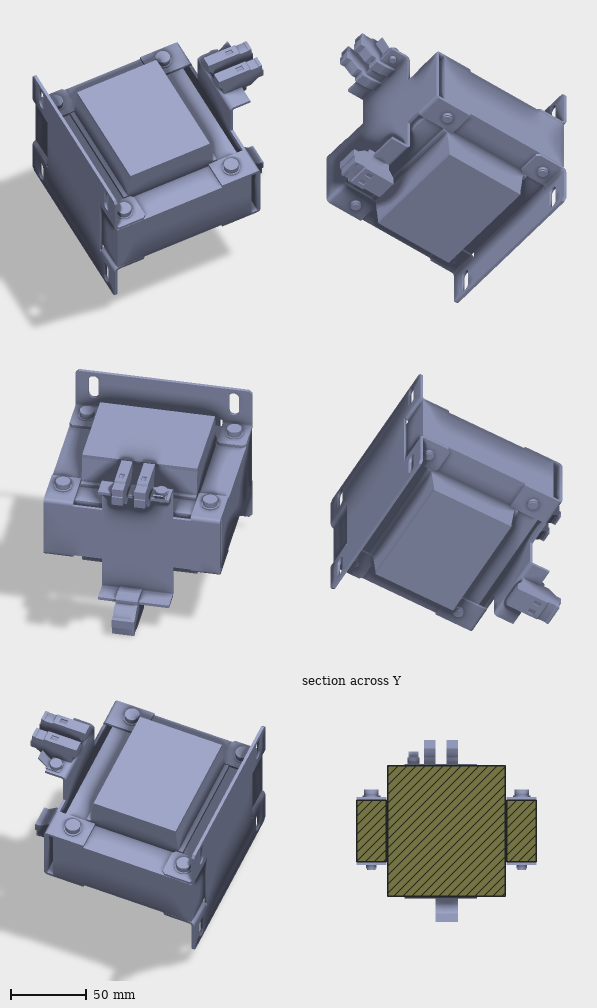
import cadquery as cq
import math

OVERALL_WIDTH = 120.0
OVERALL_HEIGHT = 121.0
SHEET = 2.0

CORE_HALF_HEIGHT = 20.7
CORE_BACK_Y = 102.2
WINDOW_HALF_WIDTH = 40.0
WINDOW_FRONT_Y = 21.9
WINDOW_BACK_Y = 82.3
COIL_HALF_WIDTH = 39.1
COIL_HALF_HEIGHT = 43.7
COIL_TOP_FRONT_Y = 22.5
COIL_TOP_BACK_Y = 81.8
COIL_FLARE = 2.5
COIL_RIM = 2.6
FLANGE_OVERHANG = 2.6
FLANGE_THICKNESS = 2.6

PLATE_HEIGHT = 104.1
PLATE_CORNER = 2.0
SLOT_X = 47.6
SLOT_Z = 40.0
SLOT_LENGTH = 18.0
SLOT_WIDTH = 6.7
OPENING_HALF_HEIGHT = 25.9
OPENING_INNER_X = 38.0
PLATE_BEND = 4.0
PLATE_TAB_END_Y = 23.7
PLATE_TAB_BOTTOM = CORE_HALF_HEIGHT + 0.3
TAB_INNER_X = WINDOW_HALF_WIDTH
TAB_WIDTH = OVERALL_WIDTH / 2 - TAB_INNER_X

BRACKET_BACK_Y = 108.8
BRACKET_FRONT_Y = BRACKET_BACK_Y - SHEET
BRACKET_BEND = 2.5
SHELF_BEND = 3.0
BRACKET_TAB_END_Y = 80.3
BRACKET_TAB_TOP = CORE_HALF_HEIGHT + SHEET
SHELF_TOP = 44.8
SHELF_BACK_Y = 121.6
SHELF_LEFT_X = -28.0
SHELF_WIDTH = 48.2

BOLT_X = 50.0
BOLT_YS = (12.0, 92.1)
WASHER_DIAMETER = 11.8
WASHER_THICKNESS = 1.0
HEAD_DIAMETER = 9.8
HEAD_HEIGHT = 4.0
NUT_DIAMETER = 7.2
NUT_HEIGHT = 2.2
SHANK_DIAMETER = 5.5
SHANK_PROTRUSION = 1.0

EARTH_X = -21.9
EARTH_Y = 116.4
EARTH_PLATE_WIDTH = 8.1
EARTH_PLATE_FRONT_Y = 112.2
EARTH_PLATE_BACK_Y = 122.3
EARTH_PLATE_THICKNESS = 1.0
EARTH_LUG_WIDTH = 6.7
EARTH_LUG_LENGTH = 9.1
EARTH_LUG_ANGLE = 47
EARTH_HEAD_DIAMETER = 8.0
EARTH_HEAD_HEIGHT = 3.3
EARTH_SHANK_DIAMETER = 4.4
EARTH_SHANK_PROTRUSION = 2.6

BLOCK_WIDTH = 7.6
BLOCK_ROW_LEFT_X = -15.0
BLOCK_TOP = OVERALL_HEIGHT / 2
POCKET_WIDTH = 3.5
POCKET_FRONT_Y = 119.4
POCKET_BACK_Y = 124.3
POCKET_DEPTH = 1.1
BLOCK_PROFILE = [
    (104.7, BLOCK_TOP),
    (127.9, BLOCK_TOP),
    (128.6, 59.3),
    (134.3, 59.3),
    (134.7, 59.9),
    (136.7, 59.9),
    (136.7, 54.3),
    (137.7, 54.3),
    (137.7, 47.9),
    (134.1, 47.9),
    (128.5, 43.2),
    (125.2, 43.2),
    (125.2, 40.3),
    (124.5, 39.5),
    (116.6, 39.5),
    (108.4, 41.3),
    (108.4, 49.0),
    (104.7, 55.0),
]


def box(x_range, y_range, z_range):
    """Axis-aligned box from its limits along each axis."""
    lows, highs = zip(x_range, y_range, z_range)
    size = [high - low for low, high in zip(lows, highs)]
    return cq.Workplane("XY").box(*size, centered=False).translate(lows)


def upright_cylinder(x, y, z, diameter, height):
    return cq.Workplane("XY", origin=(x, y, z)).circle(diameter / 2).extrude(height)


def extrude_profile(points, left_x, width):
    """Straight-sided (y, z) outline extruded along +X from left_x."""
    return cq.Workplane("YZ", origin=(left_x, 0, 0)).polyline(points).close().extrude(width)


def with_lower_copy(body):
    return body.union(body.mirror("XY"))


def with_right_copy(body):
    return body.union(body.mirror("YZ"))


def bent_sheet(left_x, width, corner, reach_y, reach_z, radius):
    """L-shaped sheet; the signed reaches run from the sharp outer corner (y, z)."""
    y0, z0 = corner
    dy = math.copysign(1, reach_y)
    dz = math.copysign(1, reach_z)
    centre_y = y0 + dy * radius
    centre_z = z0 + dz * radius
    outer_mid = radius * math.sqrt(0.5)
    inner_mid = (radius - SHEET) * math.sqrt(0.5)
    return (
        cq.Workplane("YZ", origin=(left_x, 0, 0))
        .moveTo(y0 + reach_y, z0)
        .lineTo(centre_y, z0)
        .threePointArc((centre_y - dy * outer_mid, centre_z - dz * outer_mid), (y0, centre_z))
        .lineTo(y0, z0 + reach_z)
        .lineTo(y0 + dy * SHEET, z0 + reach_z)
        .lineTo(y0 + dy * SHEET, centre_z)
        .threePointArc(
            (centre_y - dy * inner_mid, centre_z - dz * inner_mid), (centre_y, z0 + dz * SHEET)
        )
        .lineTo(y0 + reach_y, z0 + dz * SHEET)
        .close()
        .extrude(width)
    )


def make_core():
    half_width = OVERALL_WIDTH / 2
    z_range = (-CORE_HALF_HEIGHT, CORE_HALF_HEIGHT)
    block = box((-half_width, half_width), (SHEET, CORE_BACK_Y), z_range)
    window = box(
        (-WINDOW_HALF_WIDTH, WINDOW_HALF_WIDTH), (WINDOW_FRONT_Y, WINDOW_BACK_Y), z_range
    )
    return block.cut(window)


def make_coil():
    x_range = (-COIL_HALF_WIDTH, COIL_HALF_WIDTH)
    filling = box(x_range, (WINDOW_FRONT_Y, WINDOW_BACK_Y), (-CORE_HALF_HEIGHT, CORE_HALF_HEIGHT))
    base_front = COIL_TOP_FRONT_Y - COIL_FLARE
    base_back = COIL_TOP_BACK_Y + COIL_FLARE
    rim_z = COIL_HALF_HEIGHT - COIL_RIM
    head = extrude_profile(
        [
            (base_front, CORE_HALF_HEIGHT),
            (COIL_TOP_FRONT_Y, rim_z),
            (COIL_TOP_FRONT_Y, COIL_HALF_HEIGHT),
            (COIL_TOP_BACK_Y, COIL_HALF_HEIGHT),
            (COIL_TOP_BACK_Y, rim_z),
            (base_back, CORE_HALF_HEIGHT),
        ],
        -COIL_HALF_WIDTH,
        2 * COIL_HALF_WIDTH,
    )
    flange = box(
        x_range,
        (base_front - FLANGE_OVERHANG, base_back + FLANGE_OVERHANG),
        (CORE_HALF_HEIGHT, CORE_HALF_HEIGHT + FLANGE_THICKNESS),
    )
    return filling.union(with_lower_copy(head.union(flange)))


def make_mounting_plate():
    half_width = OVERALL_WIDTH / 2
    plate = box(
        (-half_width, half_width), (0, SHEET), (-PLATE_HEIGHT / 2, PLATE_HEIGHT / 2)
    )
    plate = plate.edges("|Y").chamfer(PLATE_CORNER)
    slots = (
        cq.Workplane("XZ")
        .rarray(2 * SLOT_X, 2 * SLOT_Z, 2, 2)
        .slot2D(SLOT_LENGTH, SLOT_WIDTH, 90)
        .extrude(-SHEET)
    )
    opening = box(
        (OPENING_INNER_X, half_width), (0, SHEET), (-OPENING_HALF_HEIGHT, OPENING_HALF_HEIGHT)
    )
    tab = bent_sheet(
        TAB_INNER_X,
        TAB_WIDTH,
        (0, PLATE_TAB_BOTTOM),
        PLATE_TAB_END_Y,
        OPENING_HALF_HEIGHT - PLATE_TAB_BOTTOM,
        PLATE_BEND,
    )
    tab = tab.faces(">Y").edges("|Z").chamfer(PLATE_CORNER)
    tabs = with_right_copy(with_lower_copy(tab))
    return plate.cut(slots).cut(with_right_copy(opening)).union(tabs)


def make_rear_bracket():
    web_half_height = BRACKET_TAB_TOP - BRACKET_BEND
    web = box(
        (-TAB_INNER_X, TAB_INNER_X),
        (BRACKET_FRONT_Y, BRACKET_BACK_Y),
        (-web_half_height, web_half_height),
    )
    side = bent_sheet(
        TAB_INNER_X,
        TAB_WIDTH,
        (BRACKET_BACK_Y, BRACKET_TAB_TOP),
        BRACKET_TAB_END_Y - BRACKET_BACK_Y,
        -BRACKET_TAB_TOP,
        BRACKET_BEND,
    )
    shelf = bent_sheet(
        SHELF_LEFT_X,
        SHELF_WIDTH,
        (BRACKET_FRONT_Y, SHELF_TOP),
        SHELF_BACK_Y - BRACKET_FRONT_Y,
        -SHELF_TOP,
        SHELF_BEND,
    )
    return web.union(with_right_copy(with_lower_copy(side))).union(with_lower_copy(shelf))


def make_clamping_bolt(x, y):
    washer_z = BRACKET_TAB_TOP
    head_z = washer_z + WASHER_THICKNESS
    nut_z = -BRACKET_TAB_TOP - NUT_HEIGHT
    shank_z = nut_z - SHANK_PROTRUSION
    washer = upright_cylinder(x, y, washer_z, WASHER_DIAMETER, WASHER_THICKNESS)
    head = upright_cylinder(x, y, head_z, HEAD_DIAMETER, HEAD_HEIGHT)
    nut = upright_cylinder(x, y, nut_z, NUT_DIAMETER, NUT_HEIGHT)
    shank = upright_cylinder(x, y, shank_z, SHANK_DIAMETER, head_z - shank_z)
    return washer.union(head).union(nut).union(shank)


def make_earth_terminal():
    plate_top = SHELF_TOP + EARTH_PLATE_THICKNESS
    half_width = EARTH_PLATE_WIDTH / 2
    plate = box(
        (EARTH_X - half_width, EARTH_X + half_width),
        (EARTH_PLATE_FRONT_Y, EARTH_PLATE_BACK_Y),
        (SHELF_TOP, plate_top),
    )
    lug = box(
        (EARTH_X - EARTH_LUG_WIDTH / 2, EARTH_X + EARTH_LUG_WIDTH / 2),
        (EARTH_PLATE_BACK_Y - EARTH_PLATE_THICKNESS, EARTH_PLATE_BACK_Y + EARTH_LUG_LENGTH),
        (SHELF_TOP, plate_top),
    )
    hinge = (EARTH_X, EARTH_PLATE_BACK_Y - EARTH_PLATE_THICKNESS, SHELF_TOP)
    lug = lug.rotate(hinge, (hinge[0] + 1.4, hinge[1], hinge[2]), EARTH_LUG_ANGLE)
    shank_z = SHELF_TOP - SHEET - EARTH_SHANK_PROTRUSION
    shank = upright_cylinder(EARTH_X, EARTH_Y, shank_z, EARTH_SHANK_DIAMETER, plate_top - shank_z)
    head = upright_cylinder(EARTH_X, EARTH_Y, plate_top, EARTH_HEAD_DIAMETER, EARTH_HEAD_HEIGHT)
    return plate.union(lug).union(shank).union(head)


def make_terminal_block(position):
    """Upper terminal block; position counts block widths from the left end of the row."""
    left_x = BLOCK_ROW_LEFT_X + position * BLOCK_WIDTH
    pocket_x = left_x + (BLOCK_WIDTH - POCKET_WIDTH) / 2
    pocket = box(
        (pocket_x, pocket_x + POCKET_WIDTH),
        (POCKET_FRONT_Y, POCKET_BACK_Y),
        (BLOCK_TOP - POCKET_DEPTH, BLOCK_TOP),
    )
    return extrude_profile(BLOCK_PROFILE, left_x, BLOCK_WIDTH).cut(pocket)


result = make_core().union(make_coil()).union(make_mounting_plate()).union(make_rear_bracket())
for bolt_x in (-BOLT_X, BOLT_X):
    for bolt_y in BOLT_YS:
        result = result.union(make_clamping_bolt(bolt_x, bolt_y))
result = result.union(make_earth_terminal())
for upper_position in (0, 2):
    result = result.union(make_terminal_block(upper_position))
for lower_position in (1, 2):
    result = result.union(make_terminal_block(lower_position).mirror("XY"))